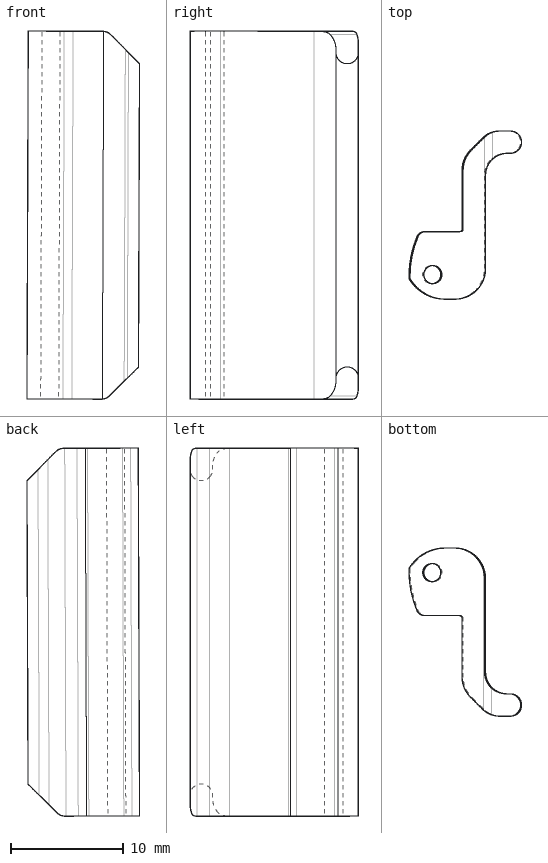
import cadquery as cq
import math

length = 32.8
width = 9.95
depth = 15.0
lean_angle = 0.2

arm_thickness = 2.0
arm_left = 4.73
arm_right = arm_left + arm_thickness
lip_radius = arm_thickness / 2
lip_center_x = width - lip_radius
lip_underside = depth - arm_thickness
inner_bend_radius = 1.95
bevel_leg = 2.45
lower_bend_radius = 2.53
upper_bend_radius = 2.15

barrel_top = 6.05
shoulder_x = 1.4
inner_corner_radius = 0.2
side_top = (0.7, 5.5)
side_middle = (0.15, 3.78)
side_bottom_y = 2.15
side_flat_end_y = 1.85
base_left = 3.22
base_right_radius = 2.72
hole_diameter = 1.6
hole_center = (2.05, 2.2)

end_bevel_start = 7.05
end_bevel_radius = 1.02
end_bevel_leg = width - end_bevel_start
cutter_margin = 1.65

half_diagonal = math.sqrt(0.5)
bend_tangent = math.tan(math.radians(22.5))


def make_profile():
    """Outline of the barrel, arm and hooked lip."""
    lower_corner_y = depth - bevel_leg
    lower_tangent = lower_bend_radius * bend_tangent
    upper_corner_x = arm_left + bevel_leg
    upper_tangent = upper_bend_radius * bend_tangent
    lower_bevel_end = (
        arm_left + lower_tangent * half_diagonal,
        lower_corner_y + lower_tangent * half_diagonal,
    )
    upper_bevel_end = (
        upper_corner_x - upper_tangent * half_diagonal,
        depth - upper_tangent * half_diagonal,
    )
    base_arc_radius = (base_left**2 + side_flat_end_y**2) / (2 * side_flat_end_y)
    base_arc_middle_x = base_left / 2
    base_arc_middle_y = base_arc_radius - math.sqrt(base_arc_radius**2 - base_arc_middle_x**2)
    return (
        cq.Workplane("XY")
        .moveTo(base_left, 0)
        .lineTo(arm_right - base_right_radius, 0)
        .tangentArcPoint((arm_right, base_right_radius), relative=False)
        .lineTo(arm_right, lip_underside - inner_bend_radius)
        .tangentArcPoint((arm_right + inner_bend_radius, lip_underside), relative=False)
        .lineTo(lip_center_x, lip_underside)
        .threePointArc((width, depth - lip_radius), (lip_center_x, depth))
        .lineTo(upper_corner_x + upper_tangent, depth)
        .tangentArcPoint(upper_bevel_end, relative=False)
        .lineTo(*lower_bevel_end)
        .tangentArcPoint((arm_left, lower_corner_y - lower_tangent), relative=False)
        .lineTo(arm_left, barrel_top + inner_corner_radius)
        .tangentArcPoint((arm_left - inner_corner_radius, barrel_top), relative=False)
        .lineTo(shoulder_x, barrel_top)
        .tangentArcPoint(side_top, relative=False)
        .threePointArc(side_middle, (0, side_bottom_y))
        .lineTo(0, side_flat_end_y)
        .threePointArc((base_arc_middle_x, base_arc_middle_y), (base_left, 0))
        .close()
    )


def make_end_cutter():
    """Material removed from the upper end of the lip, with a rounded start."""
    tangent = end_bevel_radius * bend_tangent
    outer_x = width + cutter_margin
    bevel_drop = end_bevel_leg + cutter_margin
    return (
        cq.Workplane("XZ")
        .moveTo(end_bevel_start - tangent - cutter_margin, length)
        .lineTo(end_bevel_start - tangent, length)
        .tangentArcPoint(
            (end_bevel_start + tangent * half_diagonal, length - tangent * half_diagonal),
            relative=False,
        )
        .lineTo(outer_x, length - bevel_drop)
        .lineTo(outer_x, length + cutter_margin)
        .lineTo(end_bevel_start - tangent - cutter_margin, length + cutter_margin)
        .close()
        .extrude(-depth)
    )


bar = make_profile().extrude(length)
hole = cq.Workplane("XY").center(*hole_center).circle(hole_diameter / 2).extrude(length)
upper_cutter = make_end_cutter()
lower_cutter = upper_cutter.mirror("XY", (0, 0, length / 2))
bar = bar.cut(hole).cut(upper_cutter).cut(lower_cutter)

result = bar.rotate((0, 0, 0), (0, 1, 0), lean_angle)